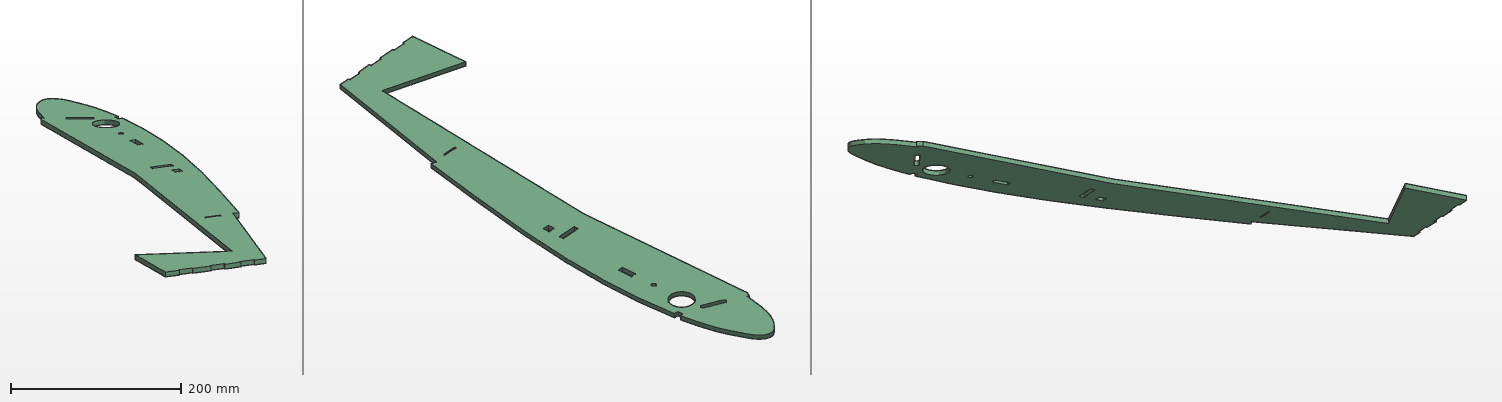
import cadquery as cq

thickness = 6.0
length = 721.0
crest_height = 91.28
foot_drop = 150.0

nose_height = 44.0
nose_upper_points = [(4.0, 54.5), (23.0, 66.6), (58.0, 79.2)]
stringer_notch_start = (104.0, 87.5)
stringer_notch_floor_start = (105.0, 82.5)
stringer_notch_floor_end = (112.0, 83.0)
stringer_notch_end = (112.0, 88.8)
crest_x = 177.0
rear_upper_points = [(280.0, 84.5), (400.0, 65.2)]
skin_end = (532.4, 37.4)
skin_step_foot = (529.8, 30.4)
foot_edge_x = 720.0
tail_top = (foot_edge_x, -18.3)

nose_lower_points = [(28.0, 16.7), (6.0, 32.3)]
nose_skin_end = (71.0, 5.6)
nose_step_foot = (68.5, 4.0)
flat_start_x = 75.0
flat_end_x = 328.0

foot_inner_corner = (674.0, -40.8)
foot_toe_x = 638.0
foot_notch_floor_x = 718.0
foot_tooth_tip_x = length
foot_notch_height = 18.0
foot_notch_tops = [-33.5, -72.5, -114.0]
leaning_tooth = 1

tube_hole_center = (125.0, 60.8)
tube_hole_diameter = 32.0
pin_hole_center = (169.6, 59.0)
pin_hole_diameter = 6.0
spar_slot_center = (90.4, 43.5)
spar_slot_length = 33.0
spar_slot_width = 6.0
spar_slot_angle = 64.5
square_slots = [
    ((211.0, 59.0), 20.0, 7.0, 0.0),
    ((316.0, 41.2), 27.0, 6.0, 90.0),
    ((339.5, 50.0), 9.0, 9.0, 0.0),
    ((532.2, 3.0), 20.0, 2.0, 90.0),
]


def foot_edge_points():
    """Notched end edge of the foot, from top to bottom; one tooth leans out to the full length."""
    points = []
    for index, top in enumerate(foot_notch_tops):
        tooth_end_x = foot_tooth_tip_x if index == leaning_tooth else foot_edge_x
        bottom = top - foot_notch_height
        points += [(tooth_end_x, top), (foot_notch_floor_x, top)]
        points += [(foot_notch_floor_x, bottom), (foot_edge_x, bottom)]
    return points


def make_blank():
    """Outer outline, clockwise from the end of the nose skin, extruded to the sheet thickness."""
    nose = (0.0, nose_height)
    crest = (crest_x, crest_height)
    outline = (
        cq.Workplane("XY")
        .moveTo(*nose_skin_end)
        .spline(
            nose_lower_points + [nose] + nose_upper_points + [stringer_notch_start],
            includeCurrent=True,
        )
        .lineTo(*stringer_notch_floor_start)
        .lineTo(*stringer_notch_floor_end)
        .lineTo(*stringer_notch_end)
        .spline([crest] + rear_upper_points + [skin_end], includeCurrent=True)
        .lineTo(*skin_step_foot)
        .lineTo(*tail_top)
        .polyline(foot_edge_points(), includeCurrent=True)
        .lineTo(foot_edge_x, -foot_drop)
        .lineTo(foot_toe_x, -foot_drop)
        .lineTo(*foot_inner_corner)
        .lineTo(flat_end_x, 0)
        .lineTo(flat_start_x, 0)
        .lineTo(*nose_step_foot)
        .close()
    )
    return outline.extrude(thickness)


def through_hole(center, diameter):
    return cq.Workplane("XY").center(*center).circle(diameter / 2).extrude(thickness)


def spar_slot():
    """Leaning slot with rounded ends, near the nose."""
    return (
        cq.Workplane("XY")
        .center(*spar_slot_center)
        .slot2D(spar_slot_length, spar_slot_width, spar_slot_angle)
        .extrude(thickness)
    )


def rectangular_slot(center, slot_length, slot_width, angle):
    slot = cq.Workplane("XY").rect(slot_length, slot_width).extrude(thickness)
    return slot.rotate((0, 0, 0), (0, 0, 1), angle).translate(center + (0,))


result = make_blank()
result = result.cut(through_hole(tube_hole_center, tube_hole_diameter))
result = result.cut(through_hole(pin_hole_center, pin_hole_diameter))
result = result.cut(spar_slot())
for slot in square_slots:
    result = result.cut(rectangular_slot(*slot))